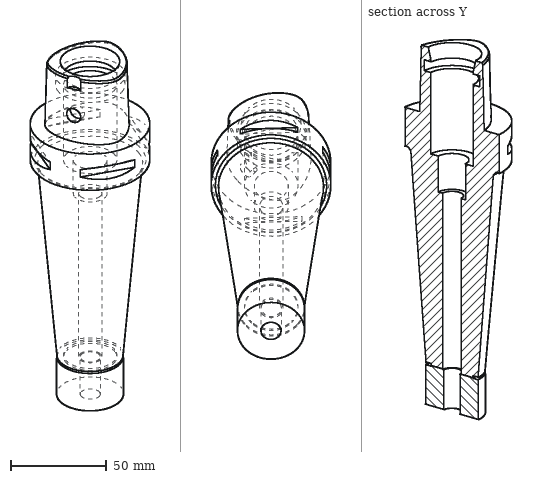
import cadquery as cq
import math

TOTAL_LENGTH = 203.0

SHANK_LENGTH = 38.0
SHANK_MEAN_RADIUS = 22.1
LOBE_HEIGHT = 1.6
TAPER_SLOPE = 1 / 40
RIM_CHAMFER_HEIGHT = 1.2
RIM_CHAMFER_WIDTH = 0.6
OUTLINE_POINTS = 36

FLANGE_RADIUS = 31.5
FLANGE_HEIGHT = 22.1
SLOT_COUNT = 4
SLOT_FLOOR_DISTANCE = 27.6
SLOT_FLOOR_HEIGHT = 4.5
SLOT_MOUTH_HEIGHT = 8.0
SLOT_CENTRE_DEPTH = 12.0

COLLAR_RADIUS = 29.2
CONE_TOP_RADIUS = 27.6
CONE_BOTTOM_RADIUS = 17.5
COLLAR_HEIGHT = 1.8
NECK_RADIUS = 14.0

NUT_RADIUS = 17.7
NUT_HEIGHT = 22.7
NUT_GAP = 1.2
NUT_CHAMFER_HEIGHT = 1.8
NUT_CHAMFER_WIDTH = 0.2
NUT_BORE_RADIUS = 5.3

MOUTH_RADIUS = 15.6
MOUTH_DEPTH = 6.3
CLAMP_BORE_RADIUS = 14.0
CLAMP_GROOVE_RADIUS = 18.3
CLAMP_LIP_HEIGHT = 1.8
CLAMP_GROOVE_DEPTH = 14.0
CLAMP_BORE_DEPTH = SHANK_LENGTH + FLANGE_HEIGHT
SCREW_BORE_RADIUS = 9.0
SCREW_BORE_LENGTH = 20.3
COOLANT_BORE_RADIUS = 6.0

KEYWAY_RADIUS = 4.9
KEYWAY_AXIS_DISTANCE = 22.3
KEYWAY_DEPTH = 6.5
CHIP_HOLE_RADIUS = 4.0
CHIP_HOLE_HEIGHT = 15.6
CHIP_HOLE_DEPTH = 5.0

BOTTOM_Z = SHANK_LENGTH - TOTAL_LENGTH
NUT_TOP_Z = BOTTOM_Z + NUT_HEIGHT
CONE_BOTTOM_Z = NUT_TOP_Z + NUT_GAP
CONE_TOP_Z = -FLANGE_HEIGHT - COLLAR_HEIGHT


def revolve_profile(points):
    """Turn a closed (radius, z) outline about the Z axis."""
    return cq.Workplane("XZ").polyline(points).close().revolve(360, (0, 0, 0), (0, 1, 0))


def lobed_wire(mean_radius, z):
    """Constant-width three-lobed outline with one lobe toward +Y."""
    points = []
    for index in range(OUTLINE_POINTS):
        angle = math.tau * index / OUTLINE_POINTS
        lobe_angle = 3 * (angle - math.pi / 2)
        distance = mean_radius + LOBE_HEIGHT * math.cos(lobe_angle)
        slope = -3 * LOBE_HEIGHT * math.sin(lobe_angle)
        x = distance * math.cos(angle) - slope * math.sin(angle)
        y = distance * math.sin(angle) + slope * math.cos(angle)
        points.append(cq.Vector(x, y, z))
    return cq.Wire.assembleEdges([cq.Edge.makeSpline(points, periodic=True)])


def make_shank():
    chamfer_z = SHANK_LENGTH - RIM_CHAMFER_HEIGHT
    chamfer_radius = SHANK_MEAN_RADIUS - TAPER_SLOPE * chamfer_z
    base = lobed_wire(SHANK_MEAN_RADIUS, 0)
    shoulder = lobed_wire(chamfer_radius, chamfer_z)
    rim = lobed_wire(chamfer_radius - RIM_CHAMFER_WIDTH, SHANK_LENGTH)
    return cq.Workplane(cq.Solid.makeLoft([base, shoulder, rim], True))


def make_turned_body():
    return revolve_profile([
        (0, 0),
        (FLANGE_RADIUS, 0),
        (FLANGE_RADIUS, -FLANGE_HEIGHT),
        (COLLAR_RADIUS, -FLANGE_HEIGHT),
        (CONE_TOP_RADIUS, CONE_TOP_Z),
        (CONE_BOTTOM_RADIUS, CONE_BOTTOM_Z),
        (NECK_RADIUS, CONE_BOTTOM_Z),
        (NECK_RADIUS, NUT_TOP_Z),
        (0, NUT_TOP_Z),
    ])


def make_bore():
    mouth_z = SHANK_LENGTH - MOUTH_DEPTH
    groove_z = SHANK_LENGTH - CLAMP_GROOVE_DEPTH
    clamp_z = SHANK_LENGTH - CLAMP_BORE_DEPTH
    screw_z = clamp_z - SCREW_BORE_LENGTH
    return revolve_profile([
        (0, SHANK_LENGTH),
        (MOUTH_RADIUS, SHANK_LENGTH),
        (CLAMP_BORE_RADIUS, mouth_z),
        (CLAMP_BORE_RADIUS, mouth_z - CLAMP_LIP_HEIGHT),
        (CLAMP_GROOVE_RADIUS, mouth_z - CLAMP_LIP_HEIGHT),
        (CLAMP_GROOVE_RADIUS, groove_z),
        (CLAMP_BORE_RADIUS, groove_z),
        (CLAMP_BORE_RADIUS, clamp_z),
        (SCREW_BORE_RADIUS, clamp_z),
        (SCREW_BORE_RADIUS, screw_z),
        (COOLANT_BORE_RADIUS, screw_z),
        (COOLANT_BORE_RADIUS, NUT_TOP_Z),
        (0, NUT_TOP_Z),
    ])


def make_gripper_slot(angle):
    """Straight slot with a flat floor and flared walls, cut across the flange."""
    half_floor = SLOT_FLOOR_HEIGHT / 2
    half_mouth = SLOT_MOUTH_HEIGHT / 2
    slot = (
        cq.Workplane("XZ")
        .polyline([
            (SLOT_FLOOR_DISTANCE, -SLOT_CENTRE_DEPTH - half_floor),
            (FLANGE_RADIUS, -SLOT_CENTRE_DEPTH - half_mouth),
            (FLANGE_RADIUS, -SLOT_CENTRE_DEPTH + half_mouth),
            (SLOT_FLOOR_DISTANCE, -SLOT_CENTRE_DEPTH + half_floor),
        ])
        .close()
        .extrude(FLANGE_RADIUS, both=True)
    )
    return slot.rotate((0, 0, 0), (0, 0, 1), angle)


def make_keyway():
    return (
        cq.Workplane("XY", origin=(0, -KEYWAY_AXIS_DISTANCE, SHANK_LENGTH))
        .circle(KEYWAY_RADIUS)
        .extrude(-KEYWAY_DEPTH)
    )


def make_chip_hole():
    """Blind flat-bottomed hole, its depth measured from the shank base outline."""
    floor_y = -(SHANK_MEAN_RADIUS - LOBE_HEIGHT - CHIP_HOLE_DEPTH)
    return (
        cq.Workplane("XZ", origin=(0, floor_y, CHIP_HOLE_HEIGHT))
        .circle(CHIP_HOLE_RADIUS)
        .extrude(SHANK_MEAN_RADIUS)
    )


def make_holder():
    holder = make_turned_body().union(make_shank())
    holder = holder.cut(make_bore()).cut(make_keyway()).cut(make_chip_hole())
    for index in range(SLOT_COUNT):
        holder = holder.cut(make_gripper_slot(360 / SLOT_COUNT * (index + 0.5)))
    return holder.solids()


def make_nut():
    return revolve_profile([
        (NUT_BORE_RADIUS, BOTTOM_Z),
        (NUT_RADIUS, BOTTOM_Z),
        (NUT_RADIUS, NUT_TOP_Z - NUT_CHAMFER_HEIGHT),
        (NUT_RADIUS - NUT_CHAMFER_WIDTH, NUT_TOP_Z),
        (NUT_BORE_RADIUS, NUT_TOP_Z),
    ])


holder = make_holder()
nut = make_nut()
result = cq.Compound.makeCompound([holder.val(), nut.val()])